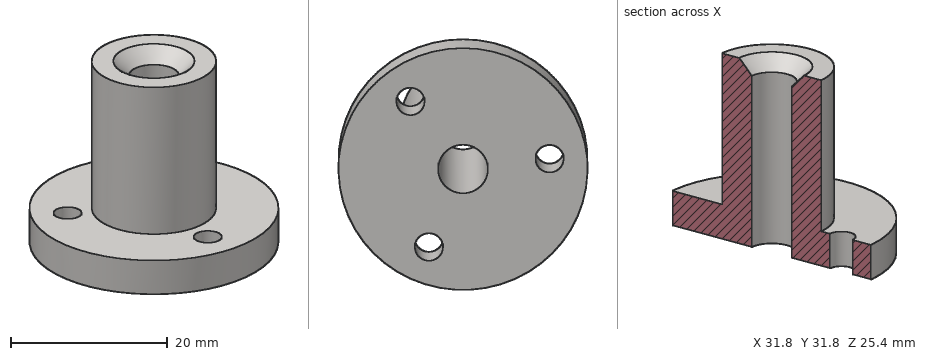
import cadquery as cq

flange_diameter = 31.75
flange_thickness = 4.75

sleeve_diameter = 15.88
total_height = 25.4

bore_diameter = 6.35
countersink_depth = 2.0

mount_hole_count = 3
mount_hole_diameter = 3.6
mount_circle_radius = 11.1
first_hole_angle = 90

flange = cq.Workplane("XY").circle(flange_diameter / 2).extrude(flange_thickness)
sleeve = cq.Workplane("XY").circle(sleeve_diameter / 2).extrude(total_height)

bore = (
    cq.Workplane("XY")
    .circle(bore_diameter / 2)
    .extrude(total_height)
)

mount_holes = (
    cq.Workplane("XY")
    .polarArray(mount_circle_radius, first_hole_angle, 360, mount_hole_count)
    .circle(mount_hole_diameter / 2)
    .extrude(flange_thickness)
)

bored_body = flange.union(sleeve).cut(bore).cut(mount_holes)

bore_rim = bored_body.faces(">Z").edges(cq.selectors.RadiusNthSelector(0))
result = bore_rim.chamfer(countersink_depth)